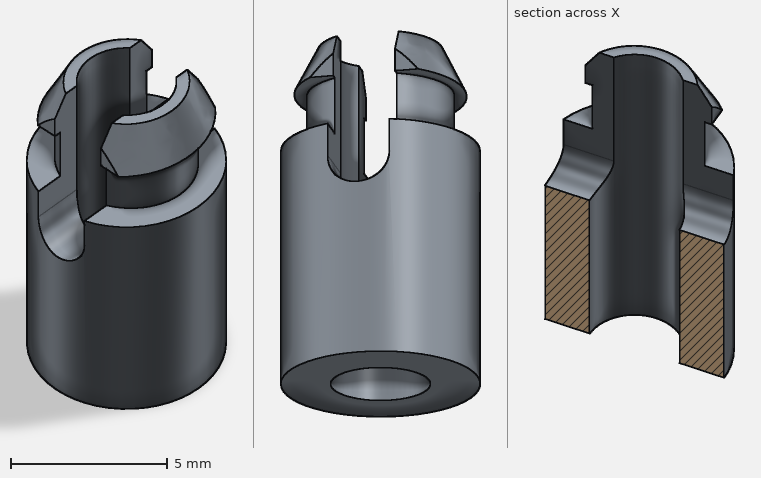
import cadquery as cq

total_height = 11.3
body_diameter = 6.4
bore_diameter = body_diameter / 2

body_height = 7.9
head_base = 9.79
head_height = total_height - head_base

neck_half_axes = (2.37, 2.23)
head_base_half_axes = (2.76, 2.96)
head_top_half_axes = (2.01, 2.03)
head_flat_width = 4.52

slot_width = 2.03
slot_bottom = 5.8


def make_body():
    """Plain cylinder below the snap-fit legs."""
    return cq.Workplane("XY").circle(body_diameter / 2).extrude(body_height)


def make_neck():
    """Oval neck between the body and the head."""
    neck = cq.Workplane("XY").workplane(offset=body_height)
    return neck.ellipse(*neck_half_axes).extrude(head_base - body_height)


def make_head():
    """Tapered oval head with flats on its two Y sides."""
    cone = (
        cq.Workplane("XY")
        .workplane(offset=head_base)
        .ellipse(*head_base_half_axes)
        .workplane(offset=head_height)
        .ellipse(*head_top_half_axes)
        .loft(ruled=True)
    )
    flats = (
        cq.Workplane("XY")
        .workplane(offset=head_base)
        .rect(body_diameter, head_flat_width)
        .extrude(head_height)
    )
    return cone.intersect(flats)


def make_bore():
    """Round hole through the full height."""
    return cq.Workplane("XY").circle(bore_diameter / 2).extrude(total_height)


def make_slot():
    """Round-bottomed slot running through along Y and open at the top."""
    slot_radius = slot_width / 2
    arc_height = slot_bottom + slot_radius
    return (
        cq.Workplane("XZ")
        .moveTo(-slot_radius, total_height)
        .lineTo(-slot_radius, arc_height)
        .threePointArc((0, slot_bottom), (slot_radius, arc_height))
        .lineTo(slot_radius, total_height)
        .close()
        .extrude(body_diameter, both=True)
    )


solid_blank = make_body().union(make_neck()).union(make_head())
result = solid_blank.cut(make_bore()).cut(make_slot())